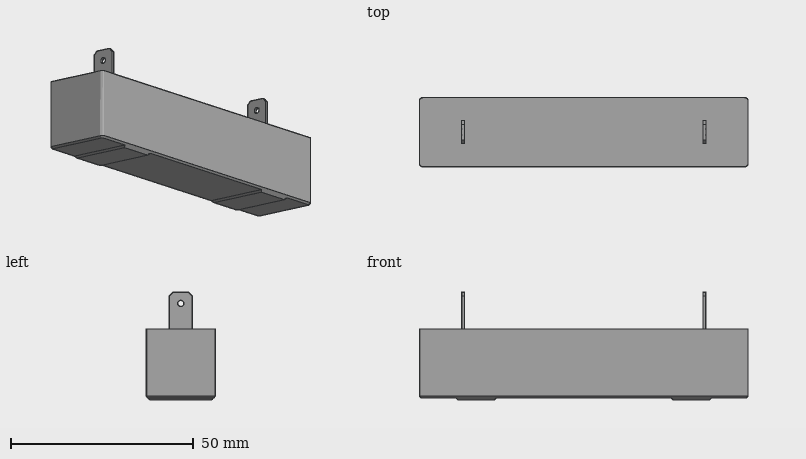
import cadquery as cq

length = 90.0
width = 19.0
body_height = 19.0
corner_radius = 1.0
base_chamfer = 0.5

foot_height = 0.5
foot_length = 11.0
foot_slope = 45
foot_offset = 29.4

tab_offset = 33.0
tab_thickness = 0.8
tab_width = 6.3
tab_height = 10.0
tab_chamfer = 1.0
hole_diameter = 1.6
hole_below_tip = 3.1


def make_body():
    """Block with rounded upright edges and a chamfered base, resting on Z = 0."""
    block = cq.Workplane("XY").box(length, width, body_height, centered=(True, True, False))
    return block.edges("|Z").fillet(corner_radius).faces("<Z").chamfer(base_chamfer)


def make_foot(x):
    """Pad below the base, narrowing downward at 45 degrees on all four sides."""
    return (
        cq.Workplane("XY", origin=(x, 0, 0))
        .rect(foot_length, width - 2 * base_chamfer)
        .extrude(-foot_height, taper=foot_slope)
    )


def make_tab(x):
    """Upright blade with clipped top corners and a round hole through it."""
    blade = (
        cq.Workplane("XY", origin=(x, 0, body_height))
        .box(tab_thickness, tab_width, tab_height, centered=(True, True, False))
        .faces(">Z")
        .edges("|X")
        .chamfer(tab_chamfer)
    )
    hole = (
        cq.Workplane("YZ", origin=(x, 0, body_height + tab_height - hole_below_tip))
        .circle(hole_diameter / 2)
        .extrude(tab_thickness, both=True)
    )
    return blade.cut(hole)


result = make_body()
for side in (-1, 1):
    result = result.union(make_foot(side * foot_offset))
    result = result.union(make_tab(side * tab_offset))